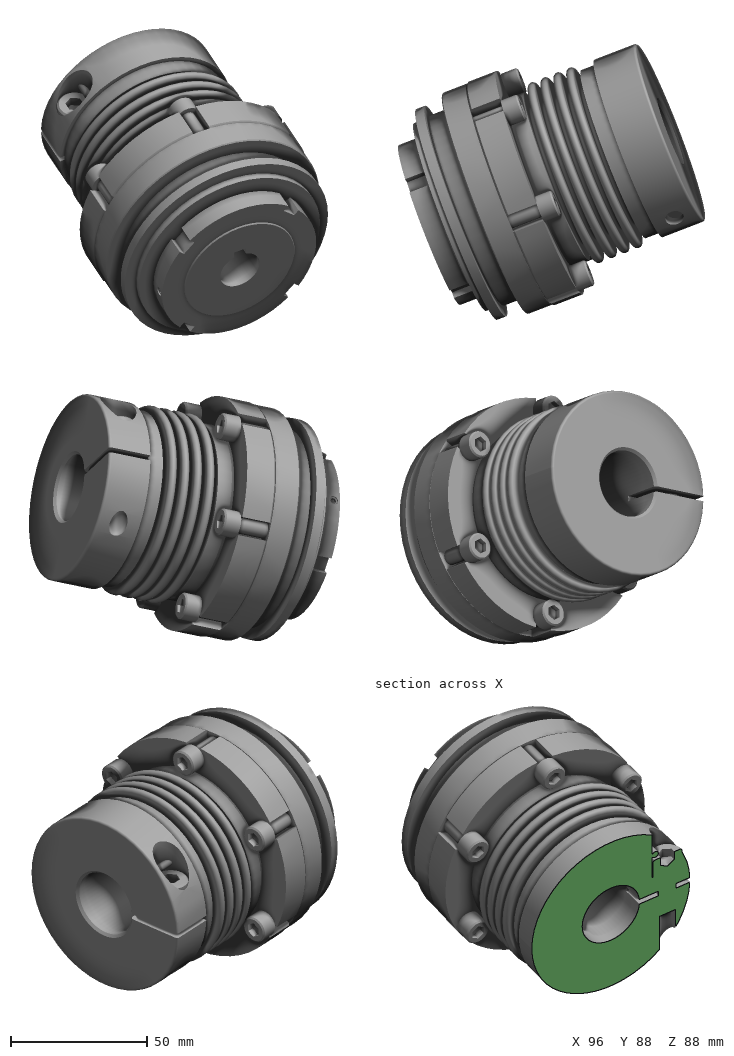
import cadquery as cq
import math

length = 96.0

hub_d = 70.0
hub_end = 16.7
hub_fillet = 1.0
hub_bore_d = 25.1
hub_bore_chamfer = 1.0
slit_w = 2.0

collar_d = 66.2
bellows_start = 22.7
bellows_root_d = 52.3
bellows_tip_d = 71.0
convolution_count = 4
convolution_w = 3.0
valley_w = 2.1
pitch = convolution_w + valley_w
bellows_end = bellows_start + convolution_count * pitch + valley_w
collar_end = 50.7
spigot_d = 65.5

flange_start = 51.8
flange_d = 88.0
flange_end = 63.7
flange_chamfer = 0.8
ring_d = 87.2
ring_end = 73.4
ring_chamfer = 0.4
drum_d = 75.1
drum_end = 80.5
groove_d = 72.6
groove_end = 81.1
disc_d = 83.0
disc_end = 84.7
backing_d = 74.0
backing_end = 87.3

nut_d = 63.0
nut_start = 88.2
nut_cone_d = 53.8
nut_end = 95.4
nut_slot_count = 4
nut_slot_w = 6.0
nut_slot_depth = 2.7
tip_d = 45.0
tip_chamfer = 0.3
shaft_bore_d = 16.0
shaft_bore_chamfer = 1.1
key_w = 5.0
key_top = 10.3

bolt_count = 6
bolt_head_d = 10.0
bolt_circle_r = (flange_d - bolt_head_d) / 2
bolt_head_h = 6.4
bolt_chamfer = 0.6
bolt_shank_d = 6.0
bolt_slot_w = 6.8
bolt_socket_flats = 5.0
bolt_socket_depth = 2.5

clamp_x = hub_end / 2
clamp_y = -25.0
clamp_head_d = 13.0
clamp_head_top = 17.1
clamp_head_h = 8.0
clamp_head_chamfer = 0.7
clamp_shank_d = 8.0
clamp_shank_low = -11.5
clamp_pocket_d = 13.3
clamp_thread_d = 6.8
clamp_socket_flats = 6.0
clamp_socket_depth = 3.8
pin_d = 3.0
pin_y = -19.6
pin_z = 19.6
pin_l = 14.4

set_screw_x = 92.9
set_screw_d = 3.3
set_screw_recess = 0.5
set_screw_socket_flats = 2.0
set_screw_socket_depth = 1.0

socket_cone_angle = 30.0

X_AXIS = cq.Vector(1, 0, 0)
Z_AXIS = cq.Vector(0, 0, 1)


def cylinder(diameter, height, base, direction):
    return cq.Workplane(cq.Solid.makeCylinder(diameter / 2, height, cq.Vector(*base), direction))


def revolved(outline):
    return outline.close().revolve(360, (0, 0, 0), (1, 0, 0))


def socket(flats, depth):
    """Hexagon socket open at Z = 0 and going down, with corners on X and a conical bottom."""
    corners = 2 * flats / math.sqrt(3)
    cone_h = flats / 2 * math.tan(math.radians(socket_cone_angle))
    hexagon = cq.Workplane("XY").polygon(6, corners).extrude(-depth)
    cone = cq.Solid.makeCone(flats / 2, 0, cone_h, cq.Vector(0, 0, -depth), -Z_AXIS)
    return hexagon.union(cq.Workplane(cone))


def socket_head(diameter, height, chamfer, flats, depth):
    """Cap screw head whose top face lies on Z = 0."""
    head = cq.Workplane("XY").circle(diameter / 2).extrude(-height).faces(">Z").chamfer(chamfer)
    return head.cut(socket(flats, depth))


def turned_body():
    hub_r = hub_d / 2
    root_r = bellows_root_d / 2
    tip_r = bellows_tip_d / 2
    valley_r = valley_w / 2
    crest_r = convolution_w / 2
    outline = (
        cq.Workplane("XY")
        .moveTo(0, 0)
        .lineTo(0, hub_r - hub_fillet)
        .radiusArc((hub_fillet, hub_r), hub_fillet)
        .lineTo(hub_end, hub_r)
        .lineTo(hub_end, collar_d / 2)
        .lineTo(bellows_start, collar_d / 2)
    )
    for i in range(convolution_count):
        valley_start = bellows_start + i * pitch
        crest_start = valley_start + valley_w
        outline = (
            outline.lineTo(valley_start, root_r + valley_r)
            .threePointArc((valley_start + valley_r, root_r), (crest_start, root_r + valley_r))
            .lineTo(crest_start, tip_r - crest_r)
            .threePointArc((crest_start + crest_r, tip_r), (crest_start + convolution_w, tip_r - crest_r))
        )
    outline = (
        outline.lineTo(bellows_end - valley_w, root_r + valley_r)
        .threePointArc((bellows_end - valley_r, root_r), (bellows_end, root_r + valley_r))
        .lineTo(bellows_end, collar_d / 2)
        .lineTo(collar_end, collar_d / 2)
        .lineTo(collar_end, spigot_d / 2)
        .lineTo(flange_start, spigot_d / 2)
        .lineTo(flange_start, flange_d / 2)
        .lineTo(flange_end - flange_chamfer, flange_d / 2)
        .lineTo(flange_end, flange_d / 2 - flange_chamfer)
        .lineTo(flange_end, ring_d / 2)
        .lineTo(ring_end - ring_chamfer, ring_d / 2)
        .lineTo(ring_end, ring_d / 2 - ring_chamfer)
    )
    clutch_steps = [
        (ring_end, drum_end, drum_d),
        (drum_end, groove_end, groove_d),
        (groove_end, disc_end, disc_d),
        (disc_end, backing_end, backing_d),
    ]
    for start, end, diameter in clutch_steps:
        outline = outline.lineTo(start, diameter / 2).lineTo(end, diameter / 2)
    outline = (
        outline.lineTo(backing_end, nut_cone_d / 2)
        .lineTo(nut_start, nut_d / 2)
        .lineTo(nut_end, nut_d / 2)
        .lineTo(nut_end, tip_d / 2)
        .lineTo(length - tip_chamfer, tip_d / 2)
        .lineTo(length, tip_d / 2 - tip_chamfer)
        .lineTo(length, 0)
    )
    return revolved(outline)


def keyed_bore():
    hub_r = hub_bore_d / 2
    shaft_r = shaft_bore_d / 2
    bore = revolved(
        cq.Workplane("XY")
        .moveTo(0, 0)
        .lineTo(0, hub_r + hub_bore_chamfer)
        .lineTo(hub_bore_chamfer, hub_r)
        .lineTo(bellows_end, hub_r)
        .lineTo(bellows_end, shaft_r + shaft_bore_chamfer)
        .lineTo(bellows_end + shaft_bore_chamfer, shaft_r)
        .lineTo(length, shaft_r)
        .lineTo(length, 0)
    )
    keyway_start = (bellows_end, -key_w / 2, 0)
    keyway = cq.Workplane("XY").box(length - bellows_end, key_w, key_top, centered=False)
    return bore.union(keyway.translate(keyway_start))


def slit():
    """Radial slit from the bore to the -Y side of the clamping hub."""
    cutter = cq.Workplane("XY").box(hub_end, hub_d / 2, slit_w, centered=(False, False, True))
    return cutter.translate((0, -hub_d / 2, 0))


def with_nut_slots(body):
    """Spanner slots, the first one half a step away from +Z."""
    slot_floor = nut_d / 2 - nut_slot_depth
    slot_l = nut_end - backing_end
    cutter = cq.Workplane("XY").box(slot_l, nut_slot_w, nut_d / 2, centered=(False, True, False))
    cutter = cutter.translate((backing_end, 0, slot_floor))
    step = 360 / nut_slot_count
    for i in range(nut_slot_count):
        body = body.cut(cutter.rotate((0, 0, 0), (1, 0, 0), (i + 0.5) * step))
    return body


def with_set_screw(body):
    """Radial set screw on the -Y side, its socket face just below the nut surface."""
    recess = cylinder(set_screw_d, set_screw_recess, (0, 0, 0), Z_AXIS)
    cutter = recess.union(socket(set_screw_socket_flats, set_screw_socket_depth))
    face_y = set_screw_recess - nut_d / 2
    return body.cut(cutter.rotate((0, 0, 0), (1, 0, 0), 90).translate((set_screw_x, face_y, 0)))


def with_flange_bolts(body):
    """Bolts in open radial slots; every socket has its corners pointing along Z."""
    flange_w = flange_end - flange_start
    slot = cylinder(bolt_slot_w, flange_w, (flange_start, 0, bolt_circle_r), X_AXIS)
    opening = cq.Workplane("XY").box(flange_w, bolt_slot_w, bolt_slot_w, centered=(False, True, False))
    slot = slot.union(opening.translate((flange_start, 0, bolt_circle_r)))
    shank = cylinder(bolt_shank_d, flange_w, (flange_start, 0, 0), X_AXIS)
    head = socket_head(bolt_head_d, bolt_head_h, bolt_chamfer, bolt_socket_flats, bolt_socket_depth)
    head = head.rotate((0, 0, 0), (0, 1, 0), -90).translate((flange_start - bolt_head_h, 0, 0))
    bolt = head.union(shank)
    for i in range(bolt_count):
        angle = i * 360 / bolt_count
        turn = math.radians(angle)
        place = (0, -bolt_circle_r * math.sin(turn), bolt_circle_r * math.cos(turn))
        body = body.cut(slot.rotate((0, 0, 0), (1, 0, 0), angle)).union(bolt.translate(place))
    return body


def with_clamp_screw(body):
    """Clamp screw in its pocket, with a retaining pin across the top of the head."""
    seat = clamp_head_top - clamp_head_h
    pocket = cylinder(clamp_pocket_d, hub_d, (clamp_x, clamp_y, seat), Z_AXIS)
    thread = cylinder(clamp_thread_d, hub_d, (clamp_x, clamp_y, clamp_shank_low), -Z_AXIS)
    head = socket_head(
        clamp_head_d, clamp_head_h, clamp_head_chamfer, clamp_socket_flats, clamp_socket_depth
    ).translate((clamp_x, clamp_y, clamp_head_top))
    shank = cylinder(clamp_shank_d, seat - clamp_shank_low, (clamp_x, clamp_y, clamp_shank_low), Z_AXIS)
    pin = cylinder(pin_d, pin_l, (clamp_x - pin_l / 2, pin_y, pin_z), X_AXIS)
    return body.cut(pocket).cut(thread).union(head).union(shank).union(pin)


coupling = turned_body().cut(keyed_bore()).cut(slit())
coupling = with_nut_slots(coupling)
coupling = with_set_screw(coupling)
coupling = with_flange_bolts(coupling)
result = with_clamp_screw(coupling)